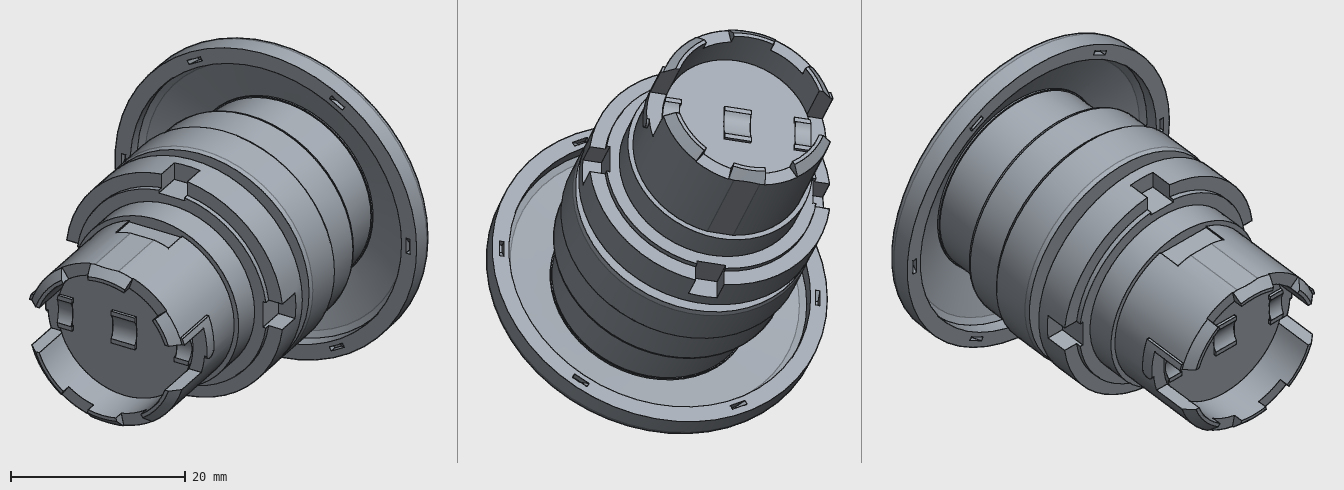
import cadquery as cq
import math


clearance = 1.0

cap_radius = 20.0
crown_sag = 0.15
rim_round_radius = 1.0
rim_round_depth = 3.65
cone_angle = math.radians(23.5)
rim_depth = 6.0
rim_inner_radius = 18.0
dish_radius = 17.25
lip_wall_height = 1.65
lip_height = 2.1
dish_wall_depth = rim_depth - lip_wall_height
dish_edge_depth = rim_depth - lip_height
dish_bottom_depth = 2.15

stem_radius = 11.85
stem_root_radius = 12.0
stem_root_depth = 2.4
collar_radius = 13.8
collar_depth = 9.6
collar_chamfer = (0.1, 0.3)
bezel_radius = 14.4
bezel_end_radius = 14.25
bezel_cone_depth = 14.5
bezel_depth = 15.15
bezel_taper_depth = 20.1
bezel_end_depth = 20.7
neck_radius = 11.0
neck_end_depth = 31.2

nut_radius = 14.4
nut_depth = 22.5
nut_end_depth = 26.9
nut_boss_radius = 12.6
nut_boss_depth = 27.55
nut_slot_count = 4
nut_slot_width = 3.4
nut_slot_depth = 24.0
nut_slot_floor = 12.1

barrel_radius = 10.4
bore_radius = 8.85
floor_depth = 38.35
tip_depth = 43.48
tip_chamfer = 1.1
flat_width = 3.1
flat_height = math.sqrt(barrel_radius**2 - (flat_width / 2) ** 2)
top_notch_width = 7.0
top_notch_floor = 9.6
top_notch_end_depth = 34.3
side_slot_width = 6.0
side_slot_depth = 37.95

tooth_gap_depth = 42.25
tooth_gaps = [(41, 71), (102, 125.5), (234.5, 258), (282, 305.5)]

rib_radius = 10.7
rib_top = 3.76
rib_foot = -1.27
rib_foot_shoulder = -0.7
rib_depth = 36.35
rib_end_depth = tip_depth - tip_chamfer

contact_length = 3.15
contact_height = 4.25
contact_rise = 0.35
contact_top_depth = floor_depth + contact_rise
trough_height = 3.1
trough_sag = 0.5
side_contact_inner = 6.75
side_waist_inset = 0.15

mark_count = 6
mark_radius = 18.84
mark_width = 0.52
mark_length = 2.0
mark_depth = 0.8


def block(x_range, depth_range, z_range):
    """Box between two X values, two depths and two Z values."""
    size_x = x_range[1] - x_range[0]
    size_y = depth_range[1] - depth_range[0]
    size_z = z_range[1] - z_range[0]
    corner = (x_range[0], -depth_range[1], z_range[0])
    return cq.Workplane("XY").box(size_x, size_y, size_z, centered=False).translate(corner)


def cylinder(radius, start_depth, end_depth):
    """Solid cylinder on the Y axis between two depths."""
    length = end_depth - start_depth
    return cq.Workplane("XZ").workplane(offset=start_depth).circle(radius).extrude(length)


def about_axis(solid, angle):
    """Turn a solid about Y, from +X toward +Z."""
    return solid.rotate((0, 0, 0), (0, 1, 0), -angle)


def polar_point(radius, angle):
    return (radius * math.cos(math.radians(angle)), radius * math.sin(math.radians(angle)))


def turned_body():
    round_centre = cap_radius - rim_round_radius
    cone_end_radius = round_centre + rim_round_radius * math.sin(cone_angle)
    cone_end_depth = rim_round_depth - rim_round_radius * math.cos(cone_angle)
    crown_radius = cone_end_radius - (cone_end_depth - crown_sag) / math.tan(cone_angle)
    chamfer_radial, chamfer_axial = collar_chamfer
    outline = (
        cq.Workplane("XY")
        .moveTo(0, 0)
        .threePointArc((crown_radius / 2, -crown_sag / 4), (crown_radius, -crown_sag))
        .lineTo(cone_end_radius, -cone_end_depth)
        .tangentArcPoint((cap_radius, -rim_round_depth), relative=False)
        .lineTo(cap_radius, -rim_depth)
        .lineTo(rim_inner_radius, -rim_depth)
        .lineTo(rim_inner_radius, -dish_wall_depth)
        .lineTo(dish_radius, -dish_edge_depth)
        .lineTo(stem_root_radius, -dish_bottom_depth)
        .lineTo(stem_root_radius, -stem_root_depth)
        .lineTo(stem_radius, -stem_root_depth)
        .lineTo(stem_radius, -collar_depth)
        .lineTo(collar_radius - chamfer_radial, -collar_depth)
        .lineTo(collar_radius, -collar_depth - chamfer_axial)
        .lineTo(collar_radius, -bezel_cone_depth)
        .lineTo(bezel_radius, -bezel_depth)
        .lineTo(bezel_radius, -bezel_taper_depth)
        .lineTo(bezel_end_radius, -bezel_end_depth)
        .lineTo(neck_radius, -bezel_end_depth)
        .lineTo(neck_radius, -nut_depth)
        .lineTo(nut_radius, -nut_depth)
        .lineTo(nut_radius, -nut_end_depth)
        .lineTo(nut_boss_radius, -nut_end_depth)
        .lineTo(nut_boss_radius, -nut_boss_depth)
        .lineTo(neck_radius, -nut_boss_depth)
        .lineTo(neck_radius, -neck_end_depth)
        .lineTo(barrel_radius, -neck_end_depth)
        .lineTo(barrel_radius, -tip_depth + tip_chamfer)
        .lineTo(barrel_radius - tip_chamfer, -tip_depth)
        .lineTo(bore_radius, -tip_depth)
        .lineTo(bore_radius, -floor_depth)
        .lineTo(0, -floor_depth)
        .close()
    )
    return outline.revolve(360, (0, 0, 0), (0, 1, 0))


def cut_nut_slots(body):
    half = nut_slot_width / 2
    slot = block((nut_slot_floor, nut_radius + clearance), (nut_slot_depth, nut_boss_depth), (-half, half))
    for i in range(nut_slot_count):
        body = body.cut(about_axis(slot, i * 360 / nut_slot_count))
    return body


def cut_barrel_flats(body):
    """Narrow flats above and below, and a wide notch above next to the neck."""
    half = flat_width / 2
    flat = block((-half, half), (neck_end_depth, tip_depth), (flat_height, barrel_radius + clearance))
    half = top_notch_width / 2
    notch = block(
        (-half, half),
        (neck_end_depth, top_notch_end_depth),
        (top_notch_floor, barrel_radius + clearance),
    )
    return body.cut(flat).cut(about_axis(flat, 180)).cut(notch)


def cut_side_slots(body):
    half = side_slot_width / 2
    reach = barrel_radius + clearance
    slot = block((-reach, reach), (side_slot_depth, tip_depth), (-half, half))
    return body.cut(slot.cut(cylinder(bore_radius, side_slot_depth, floor_depth)))


def cut_tooth_gaps(body):
    reach = 2 * barrel_radius
    for start, end in tooth_gaps:
        corners = [polar_point(reach, start), polar_point(reach, end)]
        wedge = (
            cq.Workplane("XZ")
            .workplane(offset=tooth_gap_depth)
            .polyline([(0, 0)] + corners)
            .close()
            .extrude(tip_depth - tooth_gap_depth)
        )
        body = body.cut(wedge)
    return body


def add_bayonet_ribs(body):
    """L-shaped raised ribs: one leg beside the slot, a round-ended foot behind it."""
    foot_mid_depth = (rib_depth + side_slot_depth) / 2
    outline = (
        cq.Workplane("YZ")
        .moveTo(-rib_depth, rib_top)
        .lineTo(-rib_end_depth, rib_top)
        .lineTo(-rib_end_depth, side_slot_width / 2)
        .lineTo(-side_slot_depth, side_slot_width / 2)
        .lineTo(-side_slot_depth, rib_foot_shoulder)
        .threePointArc((-foot_mid_depth, rib_foot), (-rib_depth, rib_foot_shoulder))
        .close()
        .extrude(rib_radius, both=True)
    )
    root_radius = (bore_radius + barrel_radius) / 2
    shell = cylinder(rib_radius, rib_depth, tip_depth).cut(cylinder(root_radius, rib_depth, tip_depth))
    return body.union(outline.intersect(shell))


def contact_pad(x_start, x_end):
    half = contact_height / 2
    return block((x_start, x_end), (side_slot_depth, contact_top_depth), (-half, half))


def contact_trough(x_start, x_end):
    """Round-bottomed trough along X, across the middle of a contact pad."""
    half = trough_height / 2
    return (
        cq.Workplane("YZ")
        .workplane(offset=x_start)
        .moveTo(-contact_top_depth, -half)
        .threePointArc((-contact_top_depth + trough_sag, 0), (-contact_top_depth, half))
        .close()
        .extrude(x_end - x_start)
    )


def add_contacts(body):
    """One contact in the centre and one at each side slot, narrower at the waist."""
    inside = cylinder(bore_radius, side_slot_depth, tip_depth)
    half = trough_height / 2
    waist = block(
        (side_contact_inner, side_contact_inner + side_waist_inset),
        (floor_depth, contact_top_depth),
        (-half, half),
    )
    side_pad = contact_pad(side_contact_inner, bore_radius).cut(waist).intersect(inside)
    side_trough = contact_trough(side_contact_inner + side_waist_inset, bore_radius)
    for angle in (0, 180):
        body = body.union(about_axis(side_pad, angle)).cut(about_axis(side_trough, angle))
    span = (-contact_length / 2, contact_length / 2)
    return body.union(contact_pad(*span)).cut(contact_trough(*span))


def cut_rim_marks(body):
    """Small pockets around the underside of the rim: half flat floor, half ramp."""
    half = mark_length / 2
    floor = -rim_depth + mark_depth
    pocket = (
        cq.Workplane("YZ")
        .workplane(offset=mark_radius - mark_width / 2)
        .polyline([(-rim_depth, -half), (floor, -half), (floor, 0), (-rim_depth, half)])
        .close()
        .extrude(mark_width)
    )
    for i in range(mark_count):
        body = body.cut(about_axis(pocket, i * 360 / mark_count))
    return body


result = turned_body()
result = cut_nut_slots(result)
result = cut_barrel_flats(result)
result = cut_side_slots(result)
result = cut_tooth_gaps(result)
result = add_bayonet_ribs(result)
result = add_contacts(result)
result = cut_rim_marks(result)